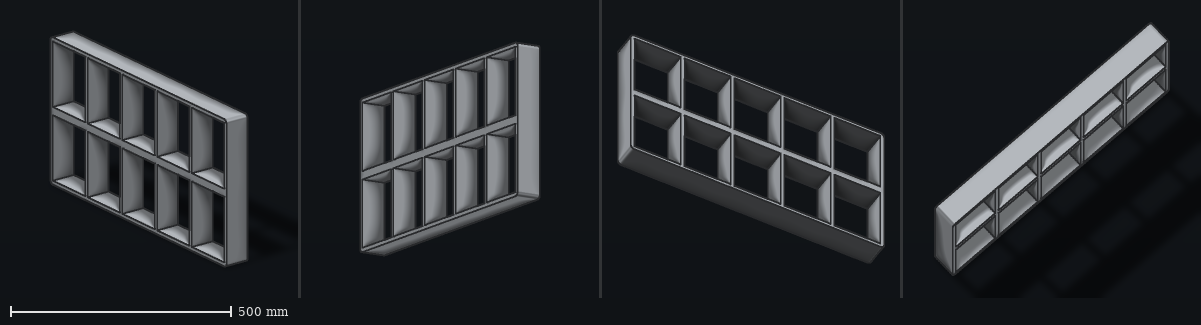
import cadquery as cq

columns = 5
rows = 2
opening_width = 120.5
opening_height = 159.5
wall = 10.0
middle_bar = 20.0
depth = 60.0
corner_radius = 10.0

frame_width = columns * opening_width + (columns + 1) * wall
frame_height = rows * opening_height + (rows - 1) * middle_bar + 2 * wall
column_pitch = opening_width + wall
row_pitch = opening_height + middle_bar


def make_frame():
    """Solid block in the XZ plane with its four outer corners rounded."""
    block = cq.Workplane("XY").box(frame_width, depth, frame_height)
    return block.edges("|Y").fillet(corner_radius)


def make_openings():
    """Grid of rectangular windows running the full depth along Y."""
    return (
        cq.Workplane("XZ")
        .rarray(column_pitch, row_pitch, columns, rows)
        .rect(opening_width, opening_height)
        .extrude(depth, both=True)
    )


result = make_frame().cut(make_openings())